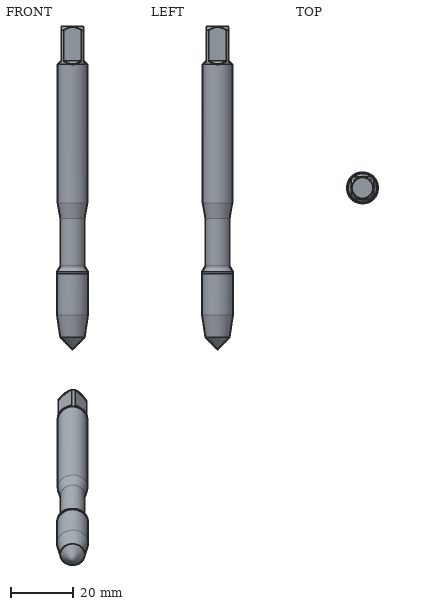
import cadquery as cq

total_length = 104.3
head_diameter = 10.1
shank_diameter = 9.7
drive_corner_diameter = 9.3
neck_diameter = 7.9
tip_diameter = 7.9
drive_width = 7.3
drive_top_diameter = 6.8

tip_top = tip_diameter / 2
lead_top = 11.2
head_top = 24.4
collar_top = 25.0
neck_bottom = 26.9
neck_top = 42.3
shank_bottom = 47.4
drive_bottom = 92.0
flat_bottom = 93.1

collar_fillet = 1.0
end_chamfer = (drive_corner_diameter - drive_top_diameter) / 2


def revolve_profile(points):
    """Revolve (radius, height) points around the Z axis."""
    return cq.Workplane("XZ").polyline(points).close().revolve(360, (0, 0, 0), (0, 1, 0))


def make_flat_cutter():
    """Cutter for the +X drive flat, with a 45 degree run-out at its lower end."""
    flat_offset = drive_width / 2
    outer_offset = head_diameter / 2
    run_out = outer_offset - flat_offset
    return (
        cq.Workplane("XZ")
        .moveTo(flat_offset, flat_bottom)
        .lineTo(outer_offset, flat_bottom - run_out)
        .lineTo(outer_offset, total_length)
        .lineTo(flat_offset, total_length)
        .close()
        .extrude(head_diameter / 2, both=True)
    )


def make_cutting_head():
    """Pointed head with a tapered lead and a full-diameter cylinder."""
    return revolve_profile([
        (0, 0),
        (tip_diameter / 2, tip_top),
        (head_diameter / 2, lead_top),
        (head_diameter / 2, head_top),
        (0, head_top),
    ])


def make_shank():
    """Collar, neck and shank in one piece, ending in the square drive."""
    body = revolve_profile([
        (0, head_top),
        (head_diameter / 2, head_top),
        (head_diameter / 2, collar_top),
        (neck_diameter / 2, neck_bottom),
        (neck_diameter / 2, neck_top),
        (shank_diameter / 2, shank_bottom),
        (shank_diameter / 2, drive_bottom),
        (drive_corner_diameter / 2, drive_bottom),
        (drive_corner_diameter / 2, total_length - end_chamfer),
        (drive_top_diameter / 2, total_length),
        (0, total_length),
    ])
    neck_foot = cq.NearestToPointSelector((0, 0, neck_bottom))
    body = body.edges("%CIRCLE").edges(neck_foot).fillet(collar_fillet)
    cutter = make_flat_cutter()
    for angle in (0, 90, 180, 270):
        body = body.cut(cutter.rotate((0, 0, 0), (0, 0, 1), angle))
    return body


cutting_head = make_cutting_head()
shank = make_shank()

result = cq.Compound.makeCompound([cutting_head.val(), shank.val()])